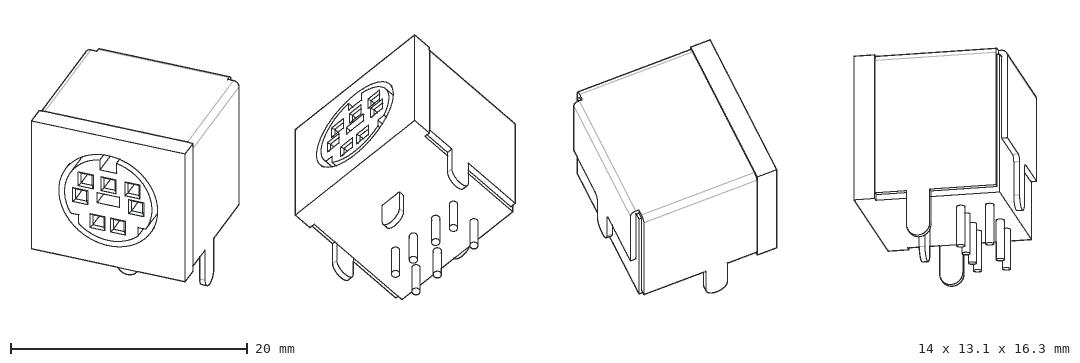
import cadquery as cq

WIDTH = 14.0
DEPTH = 13.05
TOTAL_HEIGHT = 16.31
LEG_LENGTH = 3.5
SHEET = 0.5
SHEET_GAP = 0.05

body_height = TOTAL_HEIGHT - LEG_LENGTH
front_y = -DEPTH / 2
rear_y = DEPTH / 2

FLANGE_THICKNESS = 1.8
block_width = WIDTH - 2 * SHEET
block_height = body_height - SHEET
block_rear_y = rear_y - SHEET - SHEET_GAP
flange_rear_y = front_y + FLANGE_THICKNESS

SHELL_REAR_Y = 5.74
FLAP_WIDTH = 11.9
FLAP_SHOULDER_Z = 4.97
TONGUE_WIDTH = 2.0
shell_front_y = flange_rear_y + SHEET_GAP

LEG_WIDTH = 2.0
SIDE_LEG_Y = -0.98
CENTRE_LEG_FRONT_Y = -2.15
PIN_DIAMETER = 0.7
FRONT_PIN_ROW_Y = 1.95
REAR_PIN_ROW_Y = 4.45
INNER_PIN_X = 1.3
OUTER_PIN_X = 3.4
REAR_INNER_PIN_X = -0.9
pin_positions = [
    (-OUTER_PIN_X, FRONT_PIN_ROW_Y),
    (-INNER_PIN_X, FRONT_PIN_ROW_Y),
    (INNER_PIN_X, FRONT_PIN_ROW_Y),
    (OUTER_PIN_X, FRONT_PIN_ROW_Y),
    (-OUTER_PIN_X, REAR_PIN_ROW_Y),
    (REAR_INNER_PIN_X, REAR_PIN_ROW_Y),
    (OUTER_PIN_X, REAR_PIN_ROW_Y),
]

SOCKET_Z = 6.48
SOCKET_DIAMETER = 9.0
ISLAND_DIAMETER = 7.96
SOCKET_DEPTH = 7.01
TOP_KEY_WIDTH = 1.5
TOP_KEY_FLOOR_Z = 9.38
SIDE_KEY_X = 2.69
SIDE_KEY_TOP_Z = 4.42
SLOT_WIDTH = 2.0
SLOT_HEIGHT = 1.0
SLOT_Z = 6.54
HOLE_SIZE = 1.0
HOLE_CHAMFER = 0.2
hole_centres = [
    (-2.05, 8.02),
    (0.03, 8.02),
    (2.2, 8.02),
    (-2.55, 6.33),
    (2.55, 6.33),
    (-0.98, 4.1),
    (0.88, 4.1),
]


def box(x_range, y_range, z_range):
    """Return a box given its (low, high) limits along each axis."""
    lows, highs = zip(x_range, y_range, z_range)
    sizes = [high - low for low, high in zip(lows, highs)]
    return cq.Workplane("XY").box(*sizes, centered=False).translate(lows)


def centred_box(width, y_range, z_range):
    """Return a box that is symmetric about X = 0."""
    return box((-width / 2, width / 2), y_range, z_range)


def rounded_tongue(plane, centre, width, top_z, tip_z):
    """Return a sheet-thick tongue with a full-round lower end."""
    radius = width / 2
    return (
        cq.Workplane(plane)
        .moveTo(centre - radius, top_z)
        .lineTo(centre - radius, tip_z + radius)
        .threePointArc((centre, tip_z), (centre + radius, tip_z + radius))
        .lineTo(centre + radius, top_z)
        .close()
        .extrude(SHEET)
    )


def make_body():
    """Return the front flange with the block behind it."""
    flange = centred_box(WIDTH, (front_y, flange_rear_y), (0, body_height))
    block = centred_box(block_width, (flange_rear_y, block_rear_y), (0, block_height))
    return flange.union(block)


def make_shell():
    """Return the top and side sheets, rounded along both upper bends."""
    cover = centred_box(WIDTH, (shell_front_y, SHELL_REAR_Y), (SHEET, body_height))
    cover = cover.edges("|Y and >Z").fillet(SHEET)
    inside = centred_box(block_width, (shell_front_y, SHELL_REAR_Y), (0, block_height))
    return cover.cut(inside)


def make_rear_flap():
    """Return the sheet folded down behind the block, ending in a narrow tongue."""
    roof = centred_box(FLAP_WIDTH, (SHELL_REAR_Y, rear_y), (block_height, body_height))
    wall = centred_box(FLAP_WIDTH, (rear_y - SHEET, rear_y), (FLAP_SHOULDER_Z, body_height))
    folded_sheet = roof.union(wall).edges("|X and >Y and >Z").fillet(SHEET)
    tongue = rounded_tongue("XZ", 0, TONGUE_WIDTH, FLAP_SHOULDER_Z, SHEET).translate((0, rear_y, 0))
    flap = folded_sheet.union(tongue)
    shoulder = cq.selectors.BoxSelector(
        (-TONGUE_WIDTH, 0, FLAP_SHOULDER_Z - SHEET), (TONGUE_WIDTH, rear_y, FLAP_SHOULDER_Z + SHEET)
    )
    return flap.edges("|Y").edges(shoulder).fillet(SHEET)


def make_legs():
    """Return the two side legs and the centre leg."""
    side_leg = rounded_tongue("YZ", SIDE_LEG_Y, LEG_WIDTH, SHEET, -LEG_LENGTH)
    left = side_leg.translate((-WIDTH / 2, 0, 0))
    right = side_leg.translate((WIDTH / 2 - SHEET, 0, 0))
    centre = rounded_tongue("XZ", 0, LEG_WIDTH, 0, -LEG_LENGTH)
    return left.union(right).union(centre.translate((0, CENTRE_LEG_FRONT_Y + SHEET, 0)))


def make_pins():
    """Return the round contact pins below the body."""
    return cq.Workplane("XY").pushPoints(pin_positions).circle(PIN_DIAMETER / 2).extrude(-LEG_LENGTH)


def make_socket_groove():
    """Return the ring groove with its three keyways, as a cutting tool."""
    front = cq.Workplane("XZ", origin=(0, front_y, SOCKET_Z))
    bore = front.circle(SOCKET_DIAMETER / 2).extrude(-SOCKET_DEPTH)
    island = front.circle(ISLAND_DIAMETER / 2).extrude(-SOCKET_DEPTH)
    depth_range = (front_y, front_y + SOCKET_DEPTH)
    island = island.cut(centred_box(TOP_KEY_WIDTH, depth_range, (TOP_KEY_FLOOR_Z, body_height)))
    island = island.cut(box((SIDE_KEY_X, WIDTH / 2), depth_range, (0, SIDE_KEY_TOP_Z)))
    island = island.cut(box((-WIDTH / 2, -SIDE_KEY_X), depth_range, (0, SIDE_KEY_TOP_Z)))
    return bore.cut(island)


def make_contact_hole(x, z):
    """Return a square hole with a bevelled mouth, as a cutting tool."""
    mouth_size = HOLE_SIZE + 2 * HOLE_CHAMFER
    front = cq.Workplane("XZ", origin=(x, front_y, z))
    shaft = front.rect(HOLE_SIZE, HOLE_SIZE).extrude(-SOCKET_DEPTH)
    mouth = front.rect(mouth_size, mouth_size).extrude(-HOLE_CHAMFER, taper=45)
    return shaft.union(mouth)


def make_centre_slot():
    """Return the rectangular slot between the contacts, as a cutting tool."""
    z_range = (SLOT_Z - SLOT_HEIGHT / 2, SLOT_Z + SLOT_HEIGHT / 2)
    return centred_box(SLOT_WIDTH, (front_y, front_y + SOCKET_DEPTH), z_range)


result = make_body().union(make_shell()).union(make_rear_flap()).union(make_legs()).union(make_pins())
result = result.cut(make_socket_groove()).cut(make_centre_slot())
for hole_x, hole_z in hole_centres:
    result = result.cut(make_contact_hole(hole_x, hole_z))